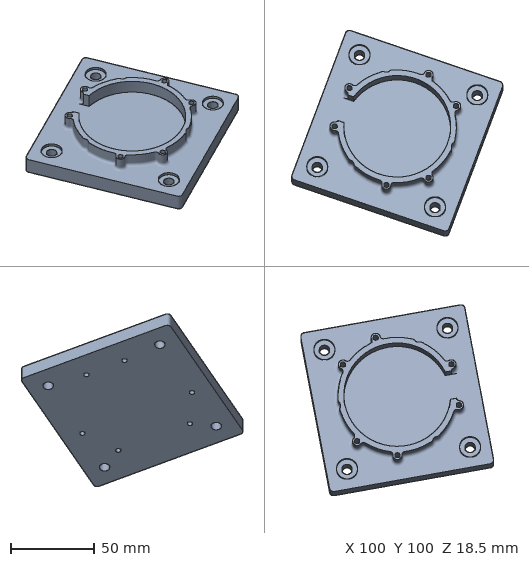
import cadquery as cq
import math

PLATE_SIZE = 100.0
PLATE_THICKNESS = 10.0
PLATE_CORNER_RADIUS = 2.5

MOUNT_SPACING = 75.0
MOUNT_HOLE_DIAMETER = 6.2
COUNTERBORE_DIAMETER = 12.6
COUNTERBORE_DEPTH = 1.6

TOTAL_HEIGHT = 18.5
RING_HEIGHT = TOTAL_HEIGHT - PLATE_THICKNESS
RING_OUTER_RADIUS = 35.5
RING_INNER_RADIUS = 32.0
RING_ROTATION = -0.3
GAP_WIDTH = 17.2

BOSS_ANGLES = [40, 80, 160, 200, 280, 320]
BOSS_CIRCLE_RADIUS = 37.5
BOSS_RADIUS = 2.75
BOSS_HOLE_DIAMETER = 3.1

SCALLOP_ANGLES = [0, 120, 240]
GROOVE_RADIUS = 2.8
LOBE_RADIUS = 3.0
LOBE_RISE = 0.15
LOBE_CIRCLE_RADIUS = RING_OUTER_RADIUS + LOBE_RISE - LOBE_RADIUS
LOBE_HALF_ANGLE = 5.25

BLEND_RADIUS = 2.0
BLEND_CIRCLE_RADIUS = RING_OUTER_RADIUS + BLEND_RADIUS
FOOT_FILLET = 1.99


def polar_point(radius, angle):
    """Point on a circle about the plate centre, turned with the ring."""
    turned = math.radians(angle + RING_ROTATION)
    return (radius * math.cos(turned), radius * math.sin(turned))


def blend_offset(circle_radius, feature_radius):
    """Angle in degrees from a round feature's centre to the blend touching both it and the ring."""
    reach = feature_radius + BLEND_RADIUS
    cosine = (BLEND_CIRCLE_RADIUS**2 + circle_radius**2 - reach**2) / (2 * BLEND_CIRCLE_RADIUS * circle_radius)
    return math.degrees(math.acos(cosine))


def blend_circle(angle):
    """Circle, as (centre, radius), of a blend touching the ring from outside."""
    return (polar_point(BLEND_CIRCLE_RADIUS, angle), BLEND_RADIUS)


def boss_circles(angle):
    """Circles, as (centre, radius), that the outline follows around a boss."""
    offset = blend_offset(BOSS_CIRCLE_RADIUS, BOSS_RADIUS)
    boss = (polar_point(BOSS_CIRCLE_RADIUS, angle), BOSS_RADIUS)
    return [blend_circle(angle - offset), boss, blend_circle(angle + offset)]


def scallop_circles(angle):
    """Circles, as (centre, radius), that the outline follows through a scallop."""
    offset = LOBE_HALF_ANGLE + blend_offset(LOBE_CIRCLE_RADIUS, LOBE_RADIUS)
    half_angle = math.radians(LOBE_HALF_ANGLE)
    lobe_along = LOBE_CIRCLE_RADIUS * math.cos(half_angle)
    lobe_aside = LOBE_CIRCLE_RADIUS * math.sin(half_angle)
    groove_distance = lobe_along + math.sqrt((GROOVE_RADIUS + LOBE_RADIUS) ** 2 - lobe_aside**2)
    return [
        blend_circle(angle - offset),
        (polar_point(LOBE_CIRCLE_RADIUS, angle - LOBE_HALF_ANGLE), LOBE_RADIUS),
        (polar_point(groove_distance, angle), GROOVE_RADIUS),
        (polar_point(LOBE_CIRCLE_RADIUS, angle + LOBE_HALF_ANGLE), LOBE_RADIUS),
        blend_circle(angle + offset),
    ]


def touching_point(first, second):
    """Point where two circles touch from outside."""
    (x1, y1), r1 = first
    (x2, y2), r2 = second
    share = r1 / (r1 + r2)
    return (x1 + (x2 - x1) * share, y1 + (y2 - y1) * share)


def outline_points():
    """Joints of the ring's outer outline, counter-clockwise, where one arc passes into the next."""
    ring = ((0.0, 0.0), RING_OUTER_RADIUS)
    points = []
    for angle in sorted(BOSS_ANGLES + SCALLOP_ANGLES):
        circles = boss_circles(angle) if angle in BOSS_ANGLES else scallop_circles(angle)
        chain = [ring] + circles + [ring]
        points += [touching_point(first, second) for first, second in zip(chain, chain[1:])]
    return points


def make_plate():
    """Square base plate with rounded corners."""
    plate = cq.Workplane("XY").box(PLATE_SIZE, PLATE_SIZE, PLATE_THICKNESS, centered=(True, True, False))
    return plate.edges("|Z").fillet(PLATE_CORNER_RADIUS)


def make_post():
    """Solid post with the ring's outer outline; every arc is tangent to the one before."""
    points = outline_points()
    start, end = points[-1], points[0]
    middle_angle = (math.atan2(start[1], start[0]) + math.atan2(end[1], end[0])) / 2
    middle = (RING_OUTER_RADIUS * math.cos(middle_angle), RING_OUTER_RADIUS * math.sin(middle_angle))
    outline = cq.Workplane("XY").workplane(offset=PLATE_THICKNESS).moveTo(*start).threePointArc(middle, end)
    for point in points[1:]:
        outline = outline.tangentArcPoint(point, relative=False)
    return outline.close().extrude(RING_HEIGHT)


def add_foot_fillet(body):
    """Fillet the edges where the post meets the top of the plate."""
    reach = BOSS_CIRCLE_RADIUS + BOSS_RADIUS
    margin = RING_HEIGHT / 4
    around_foot = cq.selectors.BoxSelector(
        (-reach, -reach, PLATE_THICKNESS - margin),
        (reach, reach, PLATE_THICKNESS + margin),
    )
    return body.edges(around_foot).fillet(FOOT_FILLET)


def clear_ring(body):
    """Clear the round inside and the straight opening on the -X side down to the plate."""
    top_of_plate = cq.Workplane("XY").workplane(offset=PLATE_THICKNESS)
    inside = top_of_plate.circle(RING_INNER_RADIUS).extrude(RING_HEIGHT)
    opening_length = PLATE_SIZE / 2
    opening = top_of_plate.center(-opening_length / 2, 0).rect(opening_length, GAP_WIDTH).extrude(RING_HEIGHT)
    return body.cut(inside).cut(opening)


def drill_boss_holes(body):
    """Drill through every boss and the plate below it."""
    centres = [polar_point(BOSS_CIRCLE_RADIUS, angle) for angle in BOSS_ANGLES]
    holes = cq.Workplane("XY").pushPoints(centres).circle(BOSS_HOLE_DIAMETER / 2).extrude(TOTAL_HEIGHT)
    return body.cut(holes)


def drill_mounting_holes(body):
    """Drill the corner holes through the plate and counterbore them from above."""
    top_of_plate = cq.Workplane("XY").workplane(offset=PLATE_THICKNESS)
    centres = top_of_plate.rect(MOUNT_SPACING, MOUNT_SPACING, forConstruction=True).vertices()
    holes = centres.circle(MOUNT_HOLE_DIAMETER / 2).extrude(-PLATE_THICKNESS)
    counterbores = centres.circle(COUNTERBORE_DIAMETER / 2).extrude(-COUNTERBORE_DEPTH)
    return body.cut(holes).cut(counterbores)


body = add_foot_fillet(make_plate().union(make_post()))
body = clear_ring(body)
body = drill_boss_holes(body)
result = drill_mounting_holes(body)